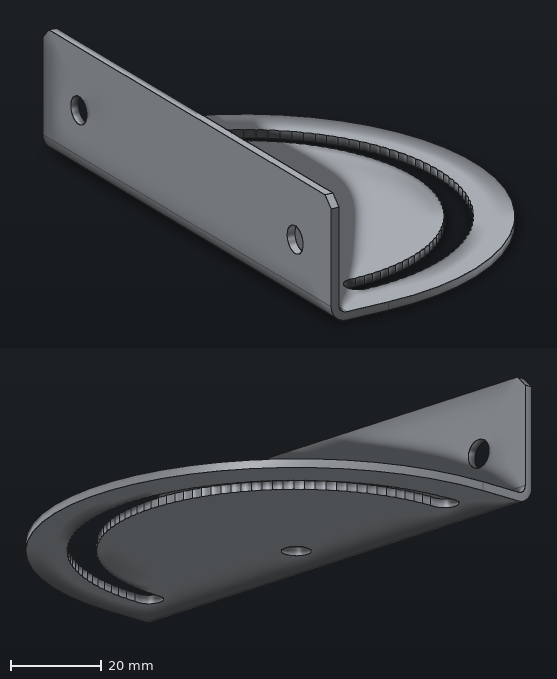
import cadquery as cq

width = 120.0
depth = 75.0
height = 30.0

thickness = 2.0
inner_bend_radius = 2.0
outer_bend_radius = inner_bend_radius + thickness

plate_radius = width / 2
pivot_y = depth - plate_radius

hole_diameter = 6.6
slot_radius = 47.5
slot_sweep = 180
slot_punches = 60

mount_hole_spacing = 90.0
mount_hole_z = height / 2
corner_chamfer = 2.5


def bent_sheet():
    """L-shaped sheet section, swept over the full width; the flange face lies at Y = 0."""
    profile = (
        cq.Workplane("YZ")
        .moveTo(depth, 0)
        .lineTo(outer_bend_radius, 0)
        .radiusArc((0, outer_bend_radius), outer_bend_radius)
        .lineTo(0, height)
        .lineTo(thickness, height)
        .lineTo(thickness, outer_bend_radius)
        .radiusArc((outer_bend_radius, thickness), -inner_bend_radius)
        .lineTo(depth, thickness)
        .close()
    )
    return profile.extrude(width / 2, both=True)


def plate_outline():
    """Column with the rounded plan outline of the base plate."""
    return (
        cq.Workplane("XY")
        .moveTo(-plate_radius, 0)
        .lineTo(plate_radius, 0)
        .lineTo(plate_radius, pivot_y)
        .threePointArc((0, depth), (-plate_radius, pivot_y))
        .close()
        .extrude(height)
    )


def arc_slot():
    """Half-circle slot centred on the pivot, nibbled as a chain of overlapping punched holes."""
    return (
        cq.Workplane("XY")
        .center(0, pivot_y)
        .polarArray(slot_radius, 0, slot_sweep, slot_punches)
        .circle(hole_diameter / 2)
        .extrude(thickness)
    )


def pivot_hole():
    """Single hole through the base plate at the slot centre."""
    return cq.Workplane("XY").center(0, pivot_y).circle(hole_diameter / 2).extrude(thickness)


def mount_holes():
    """Pair of holes through the flange."""
    half_spacing = mount_hole_spacing / 2
    return (
        cq.Workplane("XZ")
        .pushPoints([(-half_spacing, mount_hole_z), (half_spacing, mount_hole_z)])
        .circle(hole_diameter / 2)
        .extrude(-thickness)
    )


def clip_top_corners(bracket):
    """Chamfer the two upper corners of the flange."""
    top_edges = bracket.faces(">Z").edges("|Y")
    return top_edges.chamfer(corner_chamfer)


bracket = bent_sheet().intersect(plate_outline())
bracket = clip_top_corners(bracket)
result = bracket.cut(arc_slot()).cut(pivot_hole()).cut(mount_holes())